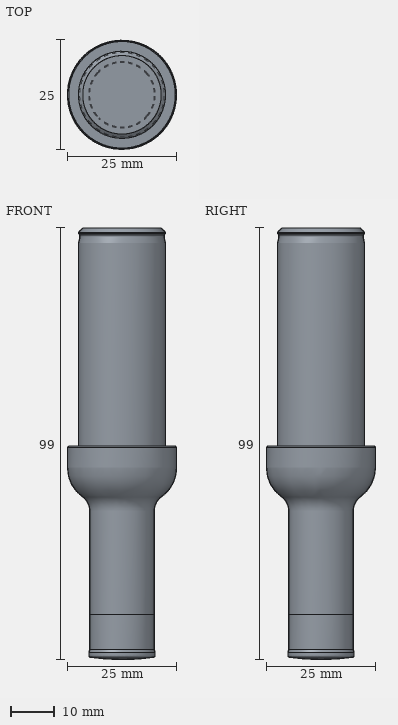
import cadquery as cq
import math


shank_radius = 10.0
shank_top = 50.0
shank_chamfer = 1.0
land_height = 0.3
groove_depth = 0.3
groove_top = shank_top - shank_chamfer - land_height
groove_root_top = groove_top - groove_depth
groove_root_bottom = shank_top - 2.2
groove_bottom = shank_top - 3.5

collar_radius = 12.52
collar_chamfer = 0.3
collar_height = 5.0
shoulder_radius = 8.0
neck_fillet = 4.1

neck_radius = 7.4
tip_top = -38.7
lip_radius = 7.6
lip_bottom = -48.4
lip_height = 1.1
lip_cone_height = 0.6
lip_round = 0.4
tip_bottom = -49.0

shoulder_angle = math.acos(1 - (collar_radius - neck_radius) / (shoulder_radius + neck_fillet))


def arc_point(center_radius, center_height, radius, angle):
    """Point in the (radius, height) plane, at an angle from the outward direction."""
    return (center_radius + radius * math.cos(angle), center_height + radius * math.sin(angle))


def make_holder():
    """Shank with a snap groove, collar, rounded shoulder and neck."""
    shoulder_center = (collar_radius - shoulder_radius, -collar_height)
    shoulder_mid = arc_point(*shoulder_center, shoulder_radius, -shoulder_angle / 2)
    shoulder_end = arc_point(*shoulder_center, shoulder_radius, -shoulder_angle)

    neck_top = -collar_height - (shoulder_radius + neck_fillet) * math.sin(shoulder_angle)
    fillet_center = (neck_radius + neck_fillet, neck_top)
    fillet_mid = arc_point(*fillet_center, neck_fillet, math.pi - shoulder_angle / 2)

    groove_radius = shank_radius - groove_depth
    profile = (
        cq.Workplane("XZ")
        .moveTo(0, shank_top)
        .lineTo(shank_radius - shank_chamfer, shank_top)
        .lineTo(shank_radius, shank_top - shank_chamfer)
        .lineTo(shank_radius, groove_top)
        .lineTo(groove_radius, groove_root_top)
        .lineTo(groove_radius, groove_root_bottom)
        .lineTo(shank_radius, groove_bottom)
        .lineTo(shank_radius, 0)
        .lineTo(collar_radius - collar_chamfer, 0)
        .lineTo(collar_radius, -collar_chamfer)
        .lineTo(collar_radius, -collar_height)
        .threePointArc(shoulder_mid, shoulder_end)
        .threePointArc(fillet_mid, (neck_radius, neck_top))
        .lineTo(neck_radius, tip_top)
        .lineTo(0, tip_top)
        .close()
    )
    return profile.revolve(360, (0, 0), (0, 1))


def make_tip():
    """Cylindrical tip with a small rounded lip and a domed end."""
    lip_top = lip_bottom + lip_height
    dome_height = lip_bottom - tip_bottom
    dome_radius = (lip_radius**2 + dome_height**2) / (2 * dome_height)
    half_angle = math.asin(lip_radius / dome_radius) / 2
    dome_mid = arc_point(0, tip_bottom + dome_radius, dome_radius, half_angle - math.pi / 2)
    profile = (
        cq.Workplane("XZ")
        .moveTo(0, tip_top)
        .lineTo(neck_radius, tip_top)
        .lineTo(neck_radius, lip_top + lip_cone_height)
        .lineTo(lip_radius, lip_top)
        .lineTo(lip_radius, lip_bottom)
        .threePointArc(dome_mid, (0, tip_bottom))
        .close()
    )
    body = profile.revolve(360, (0, 0), (0, 1))
    lip_edge = cq.selectors.NearestToPointSelector((0, 0, lip_bottom))
    return body.edges(lip_edge).fillet(lip_round)


holder = make_holder()
tip = make_tip()

result = cq.Compound.makeCompound([holder.val(), tip.val()])